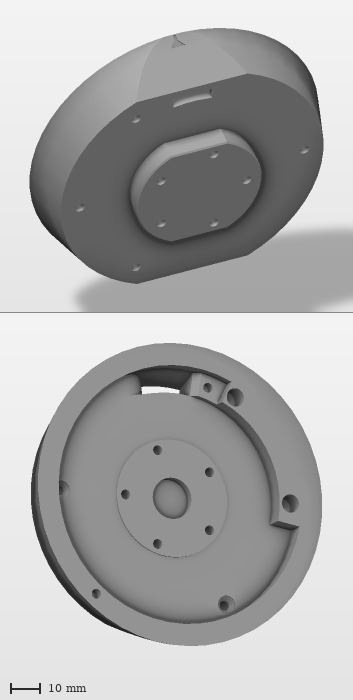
import cadquery as cq
import math

rim_radius = 51.5
disc_thickness = 17.5
side_taper = 15.0
rear_radius = rim_radius - disc_thickness * math.tan(math.radians(side_taper))

flat_front_height = 51.4
flat_rear_height = 42.4
flat_slope = math.atan2(flat_front_height - flat_rear_height, disc_thickness)

arrow_depth = 0.5
arrow_start = 0.3
arrow_stem_width = 1.0
arrow_head_start = 2.3
arrow_head_width = 5.2
arrow_end = 4.5

hub_radius = 22.4
hub_height = 7.0
hub_flat_height = 20.0
hub_chamfer = 0.5

recess_radius = 44.0
recess_depth = 7.5
ledge_inner_radius = 36.0
ledge_start_angle = 115.0
ledge_end_angle = 190.0

pad_radius = 20.0
pad_height = 0.5
bore_radius = 7.0
bore_depth = 4.0

platform_x = 4.6
platform_edge_angle = 97.5
platform_edge_offset = 3.8
platform_foot_offset = 2.0
platform_far_offset = 13.4

ramp_angle = 80.0
ramp_radius = disc_thickness - recess_depth
ramp_run = 10.8
roof_rear_radius = 40.0

bolt_count = 5
bolt_circle_radius = 16.8
screw_circle_radius = 40.0
screw_angles = (0, 120, 180, 240)
through_hole_radius = 1.6
countersink_radius = 3.1
countersink_lip = 0.5
platform_hole_angle = 107.5
platform_hole_depth = 4.1
drill_point_angle = 118.0
pin_hole_angle = -50.0
pin_circle_radius = 47.2
pin_hole_depth = 5.2

clearance = 5.2
total_length = disc_thickness + hub_height


def polar(radius, angle):
    """Y and Z of a point at a radius and angle about the disc axis."""
    return radius * math.cos(math.radians(angle)), radius * math.sin(math.radians(angle))


def radial_plane(angle):
    """Plane through the disc axis facing outwards; local x is tangential and local y is +X."""
    across, up = polar(1, angle)
    return cq.Workplane(cq.Plane(origin=(0, 0, 0), xDir=(0, -up, across), normal=(0, across, up)))


def cylinder(x_start, length, radius, center=(0, 0)):
    return cq.Workplane("YZ", origin=(x_start, *center)).circle(radius).extrude(length)


def cone(x_start, length, start_radius, end_radius, center=(0, 0)):
    axis_start = cq.Vector(x_start, *center)
    return cq.Workplane(cq.Solid.makeCone(start_radius, end_radius, length, axis_start, cq.Vector(1, 0, 0)))


def make_disc():
    disc = cone(0, disc_thickness, rim_radius, rear_radius)
    flats = (
        cq.Workplane("XZ")
        .polyline([
            (0, -flat_front_height),
            (0, flat_front_height),
            (disc_thickness, flat_rear_height),
            (disc_thickness, -flat_rear_height),
        ])
        .close()
        .extrude(rim_radius + clearance, both=True)
    )
    return disc.intersect(flats)


def make_hub():
    hub = cylinder(disc_thickness, hub_height, hub_radius)
    flats = cq.Workplane("XY").box(4 * hub_radius, 4 * hub_radius, 2 * hub_flat_height)
    return hub.intersect(flats).faces(">X").edges().chamfer(hub_chamfer)


def make_recess():
    middle = (ledge_start_angle + ledge_end_angle) / 2
    outline = (
        cq.Workplane("YZ")
        .moveTo(*polar(recess_radius, ledge_end_angle))
        .threePointArc(polar(recess_radius, middle + 180), polar(recess_radius, ledge_start_angle))
        .lineTo(*polar(ledge_inner_radius, ledge_start_angle))
        .threePointArc(polar(ledge_inner_radius, middle), polar(ledge_inner_radius, ledge_end_angle))
        .close()
    )
    pad = cylinder(recess_depth - pad_height, pad_height, pad_radius)
    return outline.extrude(recess_depth).cut(pad)


def make_platform():
    block = (
        radial_plane(platform_edge_angle)
        .polyline([
            (platform_edge_offset, platform_x),
            (platform_foot_offset, recess_depth),
            (platform_far_offset, recess_depth),
            (platform_far_offset, platform_x),
        ])
        .close()
        .extrude(rim_radius)
    )
    ring = cylinder(0, disc_thickness, recess_radius).cut(cylinder(0, disc_thickness, ledge_inner_radius))
    return block.intersect(ring)


def make_passage():
    passage_length = disc_thickness - recess_depth
    roof = cone(recess_depth, passage_length, recess_radius, roof_rear_radius)

    foot_angle = platform_edge_angle + math.degrees(math.asin(platform_foot_offset / ledge_inner_radius))
    ramp_plane = radial_plane(ramp_angle).plane
    foot_plane = radial_plane(platform_edge_angle).plane
    ramp_inner = ramp_plane.toWorldCoords((-ramp_run, 0, ledge_inner_radius))
    ramp_outer = ramp_plane.toWorldCoords((-ramp_run, 0, rim_radius))
    foot_outer = foot_plane.toWorldCoords((platform_foot_offset, 0, rim_radius))
    outline = (
        cq.Workplane("YZ")
        .moveTo(*polar(ledge_inner_radius, ramp_angle))
        .lineTo(ramp_inner.y, ramp_inner.z)
        .lineTo(ramp_outer.y, ramp_outer.z)
        .lineTo(foot_outer.y, foot_outer.z)
        .lineTo(*polar(ledge_inner_radius, foot_angle))
        .threePointArc(
            polar(ledge_inner_radius, (ramp_angle + foot_angle) / 2),
            polar(ledge_inner_radius, ramp_angle),
        )
        .close()
        .extrude(disc_thickness)
    )
    ramp_arc_middle = ramp_radius * math.sin(math.radians(45))
    ramp = (
        radial_plane(ramp_angle)
        .moveTo(-ramp_run, recess_depth)
        .threePointArc(
            (-ramp_run + ramp_arc_middle, disc_thickness - ramp_arc_middle),
            (-ramp_run + ramp_radius, disc_thickness),
        )
        .lineTo(-ramp_run, disc_thickness)
        .close()
        .extrude(rim_radius)
    )
    return roof.intersect(outline).cut(ramp)


def make_screw_hole(angle):
    """Through hole countersunk just below floor level, open to the front at the countersink size."""
    center = polar(screw_circle_radius, angle)
    sink_depth = countersink_radius - through_hole_radius
    sink_start = recess_depth + countersink_lip
    access = cylinder(0, sink_start, countersink_radius, center)
    sink = cone(sink_start, sink_depth, countersink_radius, through_hole_radius, center)
    return access.union(sink).union(cylinder(0, disc_thickness, through_hole_radius, center))


def make_platform_hole():
    center = polar(screw_circle_radius, platform_hole_angle)
    point_length = through_hole_radius / math.tan(math.radians(drill_point_angle / 2))
    hole = cylinder(platform_x, platform_hole_depth, through_hole_radius, center)
    return hole.union(cone(platform_x + platform_hole_depth, point_length, through_hole_radius, 0, center))


def make_arrow():
    flat_plane = cq.Plane(
        origin=(0, 0, flat_front_height),
        xDir=(math.cos(flat_slope), 0, -math.sin(flat_slope)),
        normal=(math.sin(flat_slope), 0, math.cos(flat_slope)),
    )
    return (
        cq.Workplane(flat_plane)
        .polyline([
            (arrow_start, -arrow_stem_width / 2),
            (arrow_head_start, -arrow_stem_width / 2),
            (arrow_end, -arrow_head_width / 2),
            (arrow_end, arrow_head_width / 2),
            (arrow_head_start, arrow_stem_width / 2),
            (arrow_start, arrow_stem_width / 2),
        ])
        .close()
        .extrude(arrow_depth, both=True)
    )


result = make_disc().union(make_hub())
result = result.cut(make_recess()).union(make_platform())
result = result.cut(make_passage()).cut(make_arrow())
result = result.cut(cylinder(recess_depth - pad_height, bore_depth, bore_radius))

for bolt in range(bolt_count):
    bolt_center = polar(bolt_circle_radius, bolt * 360 / bolt_count)
    result = result.cut(cylinder(0, total_length, through_hole_radius, bolt_center))

for screw_angle in screw_angles:
    result = result.cut(make_screw_hole(screw_angle))

result = result.cut(make_platform_hole())
pin_center = polar(pin_circle_radius, pin_hole_angle)
result = result.cut(cylinder(0, pin_hole_depth, through_hole_radius, pin_center))